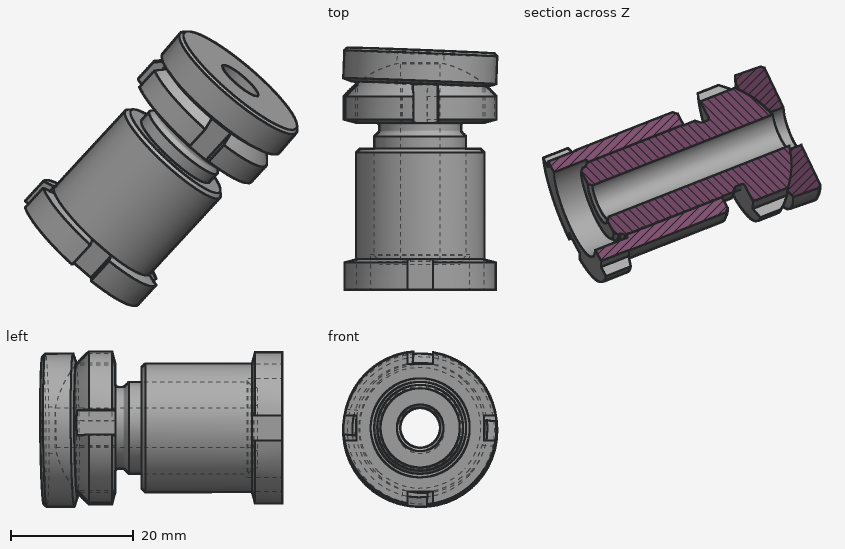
import cadquery as cq
import math

AXIS_START = (0, 0, 0)
AXIS_END = (0, 1, 0)

rim_radius = 12.5
rim_bevel_radius = 10.5
rim_bevel_height = (rim_radius - rim_bevel_radius) * math.tan(math.radians(15))
slot_width = 4.1
slot_floor_radius = 10.4

flange_height = 5.0
sleeve_radius = 10.5
sleeve_height = 23.0
sleeve_chamfer = 0.65
bore_radius = 8.07
bore_depth = 5.8

thread_radius = 7.5
screw_start = 4.1
tip_radius = 6.45
pilot_radius = 7.0
pilot_height = 1.0
neck_radius = 6.7
neck_fillet = 0.4
thread_end = 25.0
head_start = 27.22
head_cylinder_end = 31.5
screw_hole_radius = 3.22
countersink_radius = 3.8
screw_turn = 4.5

ball_radius = 16.3
ball_center_y = head_cylinder_end - math.sqrt(ball_radius**2 - rim_radius**2)
ball_top = ball_center_y + ball_radius

washer_radius = 12.5
washer_thickness = 5.5
washer_chamfer = 0.5
washer_bevel_radius = 10.97
washer_bevel_height = 0.5
washer_hole_radius = countersink_radius
washer_center = (0, 36.26, -0.38)
washer_tilt_x = -0.5
washer_tilt_z = -2.25


def turned(profile):
    """Revolve a closed (radius, Y) profile about the Y axis."""
    return profile.revolve(360, AXIS_START, AXIS_END)


def cut_rim_slots(body, y_start, y_end):
    """Cut four wrench slots into a rim between two heights."""
    slot_depth = rim_radius - slot_floor_radius + 1
    slot = cq.Workplane("XY").box(slot_depth, y_end - y_start, slot_width, centered=(False, False, True))
    slot = slot.translate((slot_floor_radius, y_start, 0))
    for quarter in range(4):
        body = body.cut(slot.rotate(AXIS_START, AXIS_END, 90 * quarter))
    return body


def make_sleeve():
    """Flanged sleeve with a wide recess in front of the thread hole."""
    profile = (
        cq.Workplane("XY")
        .moveTo(bore_radius, 0)
        .lineTo(rim_radius, 0)
        .lineTo(rim_radius, flange_height - rim_bevel_height)
        .lineTo(rim_bevel_radius, flange_height)
        .lineTo(sleeve_radius, sleeve_height - sleeve_chamfer)
        .lineTo(sleeve_radius - sleeve_chamfer, sleeve_height)
        .lineTo(thread_radius, sleeve_height)
        .lineTo(thread_radius, bore_depth)
        .lineTo(bore_radius, bore_depth)
        .close()
    )
    return cut_rim_slots(turned(profile), 0, flange_height)


def make_screw():
    """Hollow screw with a stepped tip, an undercut neck and a slotted ball-faced head."""
    countersink_depth = countersink_radius - screw_hole_radius
    pilot_end = screw_start + pilot_height
    bevel_end = thread_end + thread_radius - neck_radius
    hole_top = ball_center_y + math.sqrt(ball_radius**2 - screw_hole_radius**2)
    face_mid_radius = (rim_radius + screw_hole_radius) / 2
    face_mid_y = ball_center_y + math.sqrt(ball_radius**2 - face_mid_radius**2)

    fillet_tangent = neck_fillet * math.tan(math.radians(22.5))
    bevel_step = fillet_tangent * math.cos(math.radians(45))
    fillet_start_y = bevel_end + fillet_tangent
    fillet_mid_radius = neck_radius + neck_fillet * (1 - math.cos(math.radians(22.5)))
    fillet_mid_y = fillet_start_y - neck_fillet * math.sin(math.radians(22.5))
    corner_inset = neck_fillet * (1 - math.sqrt(0.5))

    profile = (
        cq.Workplane("XY")
        .moveTo(countersink_radius, screw_start)
        .lineTo(tip_radius, screw_start)
        .lineTo(pilot_radius, screw_start + pilot_radius - tip_radius)
        .lineTo(pilot_radius, pilot_end)
        .lineTo(thread_radius, pilot_end + thread_radius - pilot_radius)
        .lineTo(thread_radius, thread_end)
        .lineTo(neck_radius + bevel_step, bevel_end - bevel_step)
        .threePointArc((fillet_mid_radius, fillet_mid_y), (neck_radius, fillet_start_y))
        .lineTo(neck_radius, head_start - neck_fillet)
        .threePointArc(
            (neck_radius + corner_inset, head_start - corner_inset),
            (neck_radius + neck_fillet, head_start),
        )
        .lineTo(rim_bevel_radius, head_start)
        .lineTo(rim_radius, head_start + rim_bevel_height)
        .lineTo(rim_radius, head_cylinder_end)
        .threePointArc((face_mid_radius, face_mid_y), (screw_hole_radius, hole_top))
        .lineTo(screw_hole_radius, screw_start + countersink_depth)
        .close()
    )
    screw = cut_rim_slots(turned(profile), head_start, ball_top)
    return screw.rotate(AXIS_START, AXIS_END, screw_turn)


def make_washer():
    """Tilted washer, hollowed underneath to sit on the ball face of the screw."""
    top = washer_thickness / 2
    bottom = -top
    profile = (
        cq.Workplane("XY")
        .moveTo(washer_hole_radius, bottom)
        .lineTo(washer_bevel_radius, bottom)
        .lineTo(washer_radius, bottom + washer_bevel_height)
        .lineTo(washer_radius, top - washer_chamfer)
        .lineTo(washer_radius - washer_chamfer, top)
        .lineTo(washer_hole_radius, top)
        .close()
    )
    washer = (
        turned(profile)
        .rotate((0, 0, 0), (1, 0, 0), washer_tilt_x)
        .rotate((0, 0, 0), (0, 0, 1), washer_tilt_z)
        .translate(washer_center)
    )
    ball = cq.Workplane("XY").sphere(ball_radius).translate((0, ball_center_y, 0))
    return washer.cut(ball)


sleeve = make_sleeve()
screw = make_screw()
washer = make_washer()

result = cq.Compound.makeCompound([sleeve.val(), screw.val(), washer.val()])